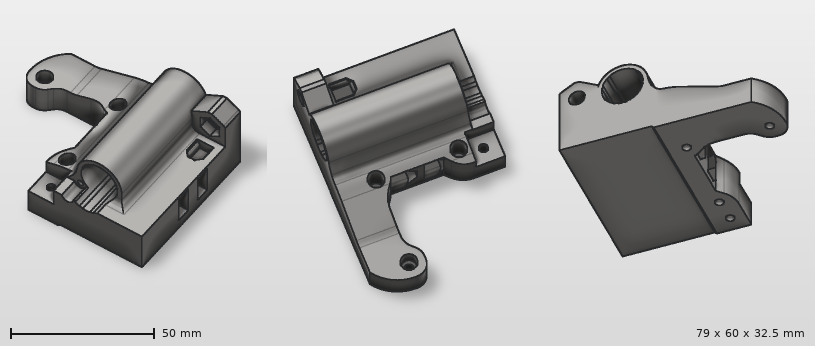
import cadquery as cq
import math

length_x = 79.0
depth_y = 60.0
height_z = 32.5

overlap = 0.4

deck_z = 16.87
arm_z = 10.94
step_pocket_z = 9.8

tube_radius = 9.5
bore_diameter = 15.4
bore_rib_width = 1.46
bore_rib_radius = 2.2
bore_rib_half_spread = 16.6
tube_x = 55.45
tube_z = height_z - tube_radius
tube_front_y = 7.9
tube_right_x = tube_x + tube_radius
skirt_radius = 3.0
flare_start_x = 40.1
flare_joint = (43.5, 18.525)
tube_left_angle = 172.8

body_left_x = 30.9
wall_x = 35.95
corner_radius = 10.0
corner_start_y = 11.85
ramp_end_x = 34.05
ramp_end_z = 15.76
ramp_slope = 0.315
ramp_blend_length = 1.38

arm_back_corner_x = 7.35
arm_outer_arc_end_y = 45.8
arm_edge_y = 44.95
tip_left_radius = 5.05
tip_radius = 5.9
neck_radius = 6.3
neck_end_x = 16.0
shoulder_start_x = 26.15
shoulder_end_x = 40.4

relief_x = 43.8
relief_height = 0.8

screw_diameter = 3.2
head_diameter = 6.0
head_floor_z = 5.0
arm_screw_x = 6.0
body_screw_x = 37.0
back_screw_y = 45.9
front_screw_y = 15.0

step_pocket_x = 41.6
step_pocket_y = 10.9
step_screw_x = 36.5
step_screw_y = 5.9

pin_x = 47.5
pin_z = 17.4
pin_diameter = 2.3
pin_depth = 11.85
pin_clearance_diameter = 4.9

nut_block_y = 50.8
nut_x = 72.45
nut_z = 22.9
nut_across_flats = 8.05
nut_pocket_depth = 3.95
rod_diameter = 6.0
block_top_z = 30.2
block_top_half_width = 0.9
block_slope = math.tan(math.radians(30))
block_corner_x = 78.1
block_corner_drop = 0.8

deck_pocket_left_x = 68.9
deck_pocket_right_x = 75.9
deck_pocket_front_y = 39.65
deck_pocket_back_y = 48.1
deck_pocket_chamfer = 2.05
deck_pocket_depth = 3.95
deck_pocket_recess = 1.3
deck_pocket_lip_radius = 1.1

window_width = 5.8
window_floor_z = 4.5
window_roof_z = 15.4
window_lip_radius = 2.05
window_floor_lip = 1.9
window_roof_lip = 0.7
mouth_extra_width = 3.15
mouth_side_high_z = 12.4
front_window_y = 22.5
front_mouth_side_low_z = 6.6
back_window_y = 34.05
back_mouth_side_low_z = 7.3
back_mouth_high_y = 41.9


def polar(cx, cy, radius, degrees):
    a = math.radians(degrees)
    return (cx + radius * math.cos(a), cy + radius * math.sin(a))


def shoulder_points():
    """Points of the two equal arcs that carry the arm's front edge in an S to the back window wall."""
    end = (shoulder_end_x, back_window_y + window_width)
    run = end[0] - shoulder_start_x
    drop = arm_edge_y - end[1]
    angle = 2 * math.degrees(math.atan(drop / run))
    radius = run / (2 * math.sin(math.radians(angle)))
    first_mid = polar(shoulder_start_x, arm_edge_y - radius, radius, 90 - angle / 2)
    joint = ((shoulder_start_x + end[0]) / 2, (arm_edge_y + end[1]) / 2)
    second_mid = polar(end[0], end[1] + radius, radius, 270 - angle / 2)
    return first_mid, joint, second_mid, end


def outer_arc_mid():
    """Middle of the arc that leaves x = 0 vertically and meets the back corner of the arm."""
    rise = depth_y - arm_outer_arc_end_y
    radius = (arm_back_corner_x**2 + rise**2) / (2 * arm_back_corner_x)
    half_angle = math.degrees(math.asin(rise / radius)) / 2
    return polar(radius, arm_outer_arc_end_y, radius, 180 - half_angle)


def arm_plan():
    first_mid, joint, second_mid, shoulder_end = shoulder_points()
    neck_cy = arm_edge_y - neck_radius
    neck_mid = polar(neck_end_x, neck_cy, neck_radius, 112.5)
    neck_start = polar(neck_end_x, neck_cy, neck_radius, 135)
    tip_right = polar(arm_screw_x, back_screw_y, tip_radius, -45)
    tip_mid = polar(arm_screw_x, back_screw_y, tip_radius, -67.5)
    tip_bottom_y = back_screw_y - tip_radius
    tip_left_cy = tip_bottom_y + tip_left_radius
    tip_left_mid = polar(tip_left_radius, tip_left_cy, tip_left_radius, 225)
    return (
        cq.Workplane("XY")
        .moveTo(shoulder_end_x, depth_y)
        .lineTo(arm_back_corner_x, depth_y)
        .threePointArc(outer_arc_mid(), (0, arm_outer_arc_end_y))
        .lineTo(0, tip_left_cy)
        .threePointArc(tip_left_mid, (tip_left_radius, tip_bottom_y))
        .lineTo(arm_screw_x, tip_bottom_y)
        .threePointArc(tip_mid, tip_right)
        .lineTo(*neck_start)
        .threePointArc(neck_mid, (neck_end_x, arm_edge_y))
        .lineTo(shoulder_start_x, arm_edge_y)
        .threePointArc(first_mid, joint)
        .threePointArc(second_mid, shoulder_end)
        .close()
    )


def body_plan():
    corner_cx = body_left_x + corner_radius
    corner_mid = polar(corner_cx, corner_start_y, corner_radius, 157.5)
    corner_end = polar(corner_cx, corner_start_y, corner_radius, 135)
    return (
        cq.Workplane("XY")
        .moveTo(length_x, 0)
        .lineTo(length_x, depth_y)
        .lineTo(wall_x, depth_y)
        .lineTo(wall_x, corner_end[1] + wall_x - corner_end[0])
        .lineTo(*corner_end)
        .threePointArc(corner_mid, (body_left_x, corner_start_y))
        .lineTo(body_left_x, 0)
        .close()
    )


def side_profile():
    """Arm, ramp and deck seen along Y, over the full depth."""
    knee_x = ramp_end_x - (ramp_end_z - arm_z) / ramp_slope
    blend_end = (knee_x + ramp_blend_length, arm_z + ramp_blend_length * ramp_slope)
    return (
        cq.Workplane("XZ")
        .moveTo(0, 0)
        .lineTo(0, arm_z)
        .lineTo(knee_x - ramp_blend_length, arm_z)
        .tangentArcPoint(blend_end, relative=False)
        .lineTo(ramp_end_x, ramp_end_z)
        .tangentArcPoint((flare_start_x, deck_z), relative=False)
        .lineTo(length_x, deck_z)
        .lineTo(length_x, relief_height)
        .lineTo(relief_x + relief_height, relief_height)
        .lineTo(relief_x, 0)
        .close()
        .extrude(-depth_y)
    )


def tube():
    """Bearing tube whose left side flares smoothly into the deck."""
    tube_left = polar(tube_x, tube_z, tube_radius, tube_left_angle)
    return (
        cq.Workplane("XZ")
        .moveTo(tube_right_x, deck_z - overlap)
        .lineTo(tube_right_x, tube_z)
        .threePointArc((tube_x, height_z), tube_left)
        .tangentArcPoint(flare_joint, relative=False)
        .tangentArcPoint((flare_start_x, deck_z), relative=False)
        .lineTo(flare_start_x, deck_z - overlap)
        .close()
        .extrude(-(depth_y - tube_front_y))
        .translate((0, tube_front_y, 0))
    )


def skirt_profile(plane, edge, toward, far):
    """Slab topped by a concave fillet that starts at edge and runs out in the direction toward."""
    r = skirt_radius
    foot = edge + toward * r
    mid = (foot - toward * r * math.sin(math.radians(45)), deck_z + r * (1 - math.cos(math.radians(45))))
    return (
        cq.Workplane(plane)
        .moveTo(edge, deck_z + r)
        .threePointArc(mid, (foot, deck_z))
        .lineTo(foot, deck_z - overlap)
        .lineTo(far, deck_z - overlap)
        .lineTo(far, deck_z + r)
        .close()
    )


def skirt():
    """Fillet along the right side and front of the tube, mitred at their corner."""
    side = skirt_profile("XZ", tube_right_x, 1, tube_x).extrude(-depth_y)
    front = skirt_profile("YZ", tube_front_y, -1, depth_y).extrude(length_x)
    return side.intersect(front)


def nut_block():
    slope_start = nut_x - block_top_half_width
    left_z = block_top_z - (slope_start - tube_right_x) * block_slope
    corner_z = block_top_z - (block_corner_x - nut_x - block_top_half_width) * block_slope
    return (
        cq.Workplane("XZ")
        .moveTo(tube_right_x - overlap, deck_z - overlap)
        .lineTo(tube_right_x - overlap, left_z)
        .lineTo(slope_start, block_top_z)
        .lineTo(nut_x + block_top_half_width, block_top_z)
        .lineTo(block_corner_x, corner_z)
        .lineTo(length_x, corner_z - block_corner_drop)
        .lineTo(length_x, deck_z - overlap)
        .close()
        .extrude(-(depth_y - nut_block_y))
        .translate((0, nut_block_y, 0))
    )


def y_cylinder(x, z, diameter, y_start, y_end):
    return (
        cq.Workplane("XZ")
        .center(x, z)
        .circle(diameter / 2)
        .extrude(-(y_end - y_start))
        .translate((0, y_start, 0))
    )


def bore():
    """Bore through the tube, with three pairs of shallow convex ribs left standing along it."""
    cutter = y_cylinder(tube_x, tube_z, bore_diameter, 0, depth_y)
    half_width = bore_rib_width / 2
    rib_center = math.sqrt((bore_diameter / 2) ** 2 - half_width**2) + math.sqrt(
        bore_rib_radius**2 - half_width**2
    )
    for pair_angle in (30, 150, 270):
        for offset in (-bore_rib_half_spread, bore_rib_half_spread):
            x, z = polar(tube_x, tube_z, rib_center, pair_angle + offset)
            cutter = cutter.cut(y_cylinder(x, z, 2 * bore_rib_radius, 0, depth_y))
    return cutter


def nut_pocket():
    hexagon = cq.Workplane("XZ").polygon(6, nut_across_flats / math.cos(math.radians(30)))
    return (
        hexagon.extrude(-nut_pocket_depth)
        .rotate((0, 0, 0), (0, 1, 0), 30)
        .translate((nut_x, nut_block_y, nut_z))
    )


def counterbored_hole(x, y):
    shank = cq.Workplane("XY").center(x, y).circle(screw_diameter / 2).extrude(height_z)
    head = cq.Workplane("XY", origin=(x, y, head_floor_z)).circle(head_diameter / 2).extrude(height_z)
    return shank.union(head)


def deck_pocket():
    """Recess with cut front corners whose rounded left, right and front lips lead into a deeper pit."""
    c = deck_pocket_chamfer
    lip = deck_pocket_lip_radius
    lip_z = deck_z - deck_pocket_recess - lip
    lip_mid_z = lip_z + lip * math.sin(math.radians(45))
    lip_mid_inset = lip * math.cos(math.radians(45))
    floor_z = deck_z - deck_pocket_depth
    left = deck_pocket_left_x
    right = deck_pocket_right_x
    front = deck_pocket_front_y
    back = deck_pocket_back_y
    prism = (
        cq.Workplane("XY", origin=(0, 0, floor_z))
        .moveTo(left, back)
        .lineTo(right, back)
        .lineTo(right, front + c)
        .lineTo(right - c, front)
        .lineTo(left + c, front)
        .lineTo(left, front + c)
        .close()
        .extrude(deck_pocket_depth)
    )
    across = (
        cq.Workplane("XZ")
        .moveTo(left, deck_z)
        .lineTo(left, lip_z + lip)
        .threePointArc((left + lip_mid_inset, lip_mid_z), (left + lip, lip_z))
        .lineTo(left + lip, floor_z)
        .lineTo(right - lip, floor_z)
        .lineTo(right - lip, lip_z)
        .threePointArc((right - lip_mid_inset, lip_mid_z), (right, lip_z + lip))
        .lineTo(right, deck_z)
        .close()
        .extrude(-depth_y)
    )
    along = (
        cq.Workplane("YZ")
        .moveTo(front, deck_z)
        .lineTo(front, lip_z + lip)
        .threePointArc((front + lip_mid_inset, lip_mid_z), (front + lip, lip_z))
        .lineTo(front + lip, floor_z)
        .lineTo(back, floor_z)
        .lineTo(back, deck_z)
        .close()
        .extrude(length_x)
    )
    return prism.intersect(across).intersect(along)


def lip_points(level_z, drop, direction):
    """Tangent point, middle and wall point of a rounded window lip; direction is the sign along Z."""
    r = window_lip_radius
    angle = math.acos(1 - drop / r)
    flat_x = wall_x + r * math.sin(angle)
    middle = (
        flat_x - r * math.sin(angle / 2),
        level_z + direction * r * (1 - math.cos(angle / 2)),
    )
    return (flat_x, level_z), middle, (wall_x, level_z + direction * drop)


def window(y_low, mouth_high_y, mouth_side_low_z):
    """Straight tunnel along X with a wider mouth, rounded at floor and roof, in the left wall."""
    mouth_end_x = shoulder_end_x
    tunnel = (
        cq.Workplane("XY", origin=(mouth_end_x - overlap, y_low, window_floor_z))
        .rect(length_x, window_width, centered=False)
        .extrude(window_roof_z - window_floor_z)
    )
    floor_tangent, floor_mid, floor_wall = lip_points(window_floor_z, window_floor_lip, -1)
    roof_tangent, roof_mid, roof_wall = lip_points(window_roof_z, window_roof_lip, 1)
    flare = (
        cq.Workplane("XZ")
        .moveTo(mouth_end_x, window_floor_z)
        .lineTo(*floor_tangent)
        .threePointArc(floor_mid, floor_wall)
        .lineTo(*roof_wall)
        .threePointArc(roof_mid, roof_tangent)
        .lineTo(mouth_end_x, window_roof_z)
        .close()
        .extrude(-depth_y)
    )
    low_z = floor_wall[1]
    high_z = roof_wall[1]
    side_y = y_low - mouth_extra_width
    opening = (
        cq.Workplane("YZ", origin=(wall_x, 0, 0))
        .moveTo(mouth_high_y, low_z)
        .lineTo(side_y + mouth_side_low_z - low_z, low_z)
        .lineTo(side_y, mouth_side_low_z)
        .lineTo(side_y, mouth_side_high_z)
        .lineTo(side_y + high_z - mouth_side_high_z, high_z)
        .lineTo(mouth_high_y, high_z)
        .close()
        .extrude(mouth_end_x - wall_x)
    )
    return tunnel.union(flare.intersect(opening))


profile = side_profile()
body = profile.intersect(body_plan().extrude(deck_z))
body = body.cut(window(front_window_y, front_window_y + window_width, front_mouth_side_low_z))
body = body.cut(window(back_window_y, back_mouth_high_y, back_mouth_side_low_z))
arm = profile.intersect(arm_plan().extrude(deck_z))

result = body.union(arm).union(tube()).union(skirt()).union(nut_block())

step_plane = cq.Workplane("XY", origin=(0, 0, step_pocket_z))
step_pocket = step_plane.rect(step_pocket_x, step_pocket_y, centered=False)
result = result.cut(step_pocket.extrude(height_z))
step_screw = cq.Workplane("XY").center(step_screw_x, step_screw_y).circle(screw_diameter / 2)
result = result.cut(step_screw.extrude(height_z))

for screw_x, screw_y in [
    (arm_screw_x, back_screw_y),
    (body_screw_x, back_screw_y),
    (body_screw_x, front_screw_y),
]:
    result = result.cut(counterbored_hole(screw_x, screw_y))

result = result.cut(bore())
result = result.cut(y_cylinder(pin_x, pin_z, pin_clearance_diameter, 0, tube_front_y))
result = result.cut(y_cylinder(pin_x, pin_z, pin_diameter, tube_front_y, tube_front_y + pin_depth))
result = result.cut(y_cylinder(nut_x, nut_z, rod_diameter, nut_block_y, depth_y))
result = result.cut(nut_pocket())

result = result.cut(deck_pocket())